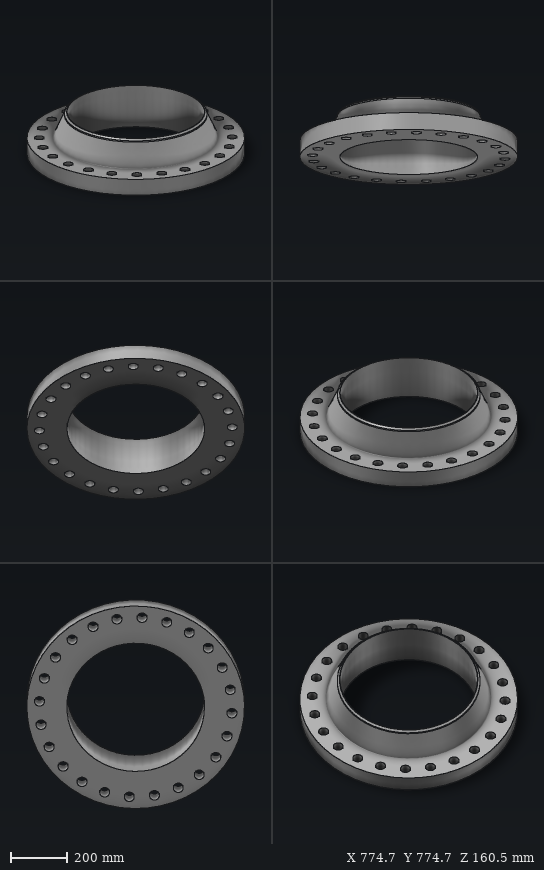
import cadquery as cq
import math


flange_diameter = 774.7
flange_thickness = 61.98

bolt_count = 24
bolt_circle_diameter = 685.8
bolt_hole_diameter = 35.0

overall_height = 160.53
hub_base_diameter = 587.2
pipe_diameter = 508.0
bore_diameter = 489.0
land_height = 5.0
hub_fillet_radius = 3.0

bevel_angle = 37.5
root_face_width = 1.6

flange_radius = flange_diameter / 2
hub_base_radius = hub_base_diameter / 2
pipe_radius = pipe_diameter / 2
bore_radius = bore_diameter / 2
root_radius = bore_radius + root_face_width
bevel_height = (pipe_radius - root_radius) * math.tan(math.radians(bevel_angle))
bevel_start_height = overall_height - bevel_height
cone_top_height = bevel_start_height - land_height


def flange_body():
    """Ring, tapered hub and beveled pipe end, revolved about Z as one profile."""
    return (
        cq.Workplane("XZ")
        .moveTo(bore_radius, 0)
        .lineTo(flange_radius, 0)
        .lineTo(flange_radius, flange_thickness)
        .lineTo(hub_base_radius, flange_thickness)
        .lineTo(pipe_radius, cone_top_height)
        .lineTo(pipe_radius, bevel_start_height)
        .lineTo(root_radius, overall_height)
        .lineTo(bore_radius, overall_height)
        .close()
        .revolve(360, (0, 0, 0), (0, 1, 0))
    )


def bolt_holes():
    """Through holes spaced evenly on the bolt circle, the first one on +X."""
    return (
        cq.Workplane("XY")
        .polarArray(bolt_circle_diameter / 2, 0, 360, bolt_count)
        .circle(bolt_hole_diameter / 2)
        .extrude(flange_thickness)
    )


def with_hub_fillet(body):
    """Round the foot of the hub, the second largest circular edge of the revolved body."""
    return body.edges(cq.selectors.RadiusNthSelector(-2)).fillet(hub_fillet_radius)


result = with_hub_fillet(flange_body()).cut(bolt_holes())